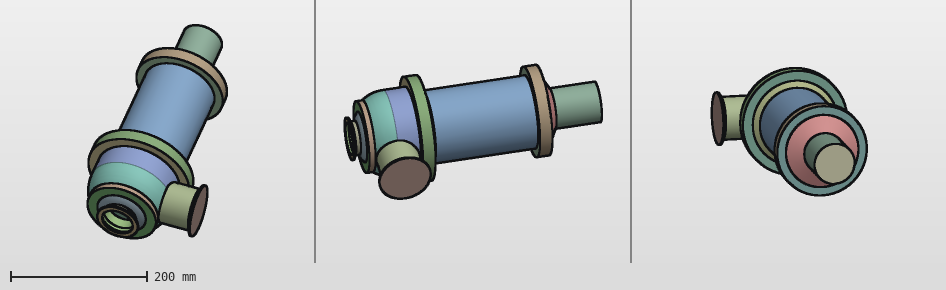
import cadquery as cq
import math

length = 373.8

rim_thickness = 2.05
inlet_rim_radius = 63.5 / 2
inlet_neck_radius = 51.0 / 2
inlet_bore_radius = 48.0 / 2
inlet_taper_end = 5.0

cap_start = 12.0
cap_radius = 75.5 / 2
cap_bulge = 0.95
disc_start = 18.5
disc_end = 27.5
disc_radius = 107.0 / 2
inlet_bore_depth = disc_end

bowl_radius = 64.0
bowl_center = 60.0

bowl_arc_height = bowl_center - disc_end
bowl_arc_width = bowl_radius - disc_radius
bowl_arc_radius = (bowl_arc_height**2 + bowl_arc_width**2) / (2 * bowl_arc_width)
bowl_arc_half_angle = math.asin(bowl_arc_height / bowl_arc_radius) / 2
bowl_arc_middle = (
    bowl_radius - bowl_arc_radius * (1 - math.cos(bowl_arc_half_angle)),
    bowl_center - bowl_arc_radius * math.sin(bowl_arc_half_angle),
)

flange_radius = 157.5 / 2
flange_start = 93.5
flange_thickness = 18.7
flange_end = flange_start + flange_thickness
tube_radius = 109.0 / 2
cone_end = 118.0

rear_flange_radius = 135.0 / 2
rear_flange_start = 272.0
rear_flange_end = rear_flange_start + flange_thickness
collar_height = 1.0
reducer_start = rear_flange_end + collar_height
reducer_end = 305.5
outlet_radius = 60.5 / 2

port_end = 184.0 - flange_radius
port_radius = 63.5 / 2
port_rim_radius = 77.5 / 2
port_taper_length = 3.7


def make_body():
    """Solid of revolution about Y; sketch points are (radius, y)."""
    cap_middle = (
        (inlet_neck_radius + cap_radius) / 2 + cap_bulge,
        (cap_start + disc_start) / 2 - cap_bulge,
    )
    profile = (
        cq.Workplane("XY")
        .lineTo(inlet_rim_radius, 0)
        .lineTo(inlet_rim_radius, rim_thickness)
        .lineTo(inlet_neck_radius, inlet_taper_end)
        .lineTo(inlet_neck_radius, cap_start)
        .threePointArc(cap_middle, (cap_radius, disc_start))
        .lineTo(disc_radius, disc_start)
        .lineTo(disc_radius, disc_end)
        .threePointArc(bowl_arc_middle, (bowl_radius, bowl_center))
        .lineTo(bowl_radius, flange_start)
        .lineTo(flange_radius, flange_start)
        .lineTo(flange_radius, flange_end)
        .lineTo(bowl_radius, flange_end)
        .lineTo(tube_radius, cone_end)
        .lineTo(tube_radius, rear_flange_start)
        .lineTo(rear_flange_radius, rear_flange_start)
        .lineTo(rear_flange_radius, rear_flange_end)
        .lineTo(tube_radius, rear_flange_end)
        .lineTo(tube_radius, reducer_start)
        .lineTo(outlet_radius, reducer_end)
        .lineTo(outlet_radius, length)
        .lineTo(0, length)
        .close()
    )
    return profile.revolve(360, (0, 0, 0), (0, 1, 0))


def make_side_port():
    """Ferruled stub revolved about the X direction at the bowl centre height."""
    rim_start = port_end - rim_thickness
    profile = (
        cq.Workplane("XY", origin=(0, bowl_center, 0))
        .lineTo(0, port_radius)
        .lineTo(rim_start - port_taper_length, port_radius)
        .lineTo(rim_start, port_rim_radius)
        .lineTo(port_end, port_rim_radius)
        .lineTo(port_end, 0)
        .close()
    )
    return profile.revolve(360, (0, 0, 0), (1, 0, 0))


def make_inlet_bore():
    """Blind hole from the inlet face."""
    return cq.Workplane("XZ").circle(inlet_bore_radius).extrude(-inlet_bore_depth)


result = make_body().union(make_side_port()).cut(make_inlet_bore())